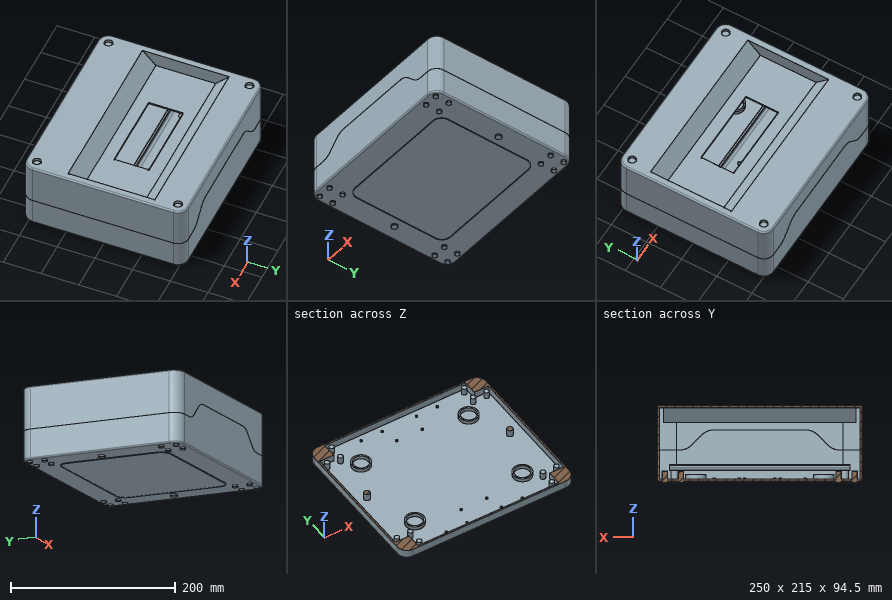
import cadquery as cq
import math

LENGTH = 250.0
WIDTH = 215.0
HEIGHT = 94.5
FOOT_HEIGHT = 2.0
CORNER_RADIUS = 14.0
EDGE_RADIUS = 2.0
WALL = 3.0

PARTING_Z = 40.0
TONGUE_RISE = 24.5
TONGUE_TOP_HALF = 64.8
TONGUE_RADIUS = 20.0

RAIL_Y = 7.2
RECESS_LENGTH = 230.5
RECESS_TOP_WIDTH = 115.0
RECESS_FLOOR_WIDTH = 79.2
RECESS_DEPTH = 19.0
RECESS_SKIN = 2.0
WINDOW_LENGTH = 106.5
WINDOW_WIDTH = 46.0

SCREW_HOLE_DIAMETER = 10.5
SCREW_HOLE_DEPTH = 4.0
SCREW_X = LENGTH / 2 - CORNER_RADIUS
SCREW_Y = WIDTH / 2 - CORNER_RADIUS

COLUMN_X = 101.8
COLUMN_Y = 84.5

PEG_DIAMETER = 6.8
PEG_HEIGHT = 9.5
PEG_XS = (96.2, 115.8)
PEG_YS = (78.5, 98.5)

RING_DIAMETER = 25.5
RING_BORE = 21.2
RING_HEIGHT = 5.0
RING_X = 78.0
RING_Y = 60.5
PAD_THICKNESS = 1.0

STUD_DIAMETER = 3.0
STUD_HEIGHT = 1.0
STUD_PLACES = ((25.0, 95.5), (55.2, 95.8), (18.5, 72.2))

POST_DIAMETER = 8.5
POST_HEIGHT = 10.0
POST_X = 103.8
RAIL_LENGTH = 220.0
RAIL_WIDTH = 35.2
RAIL_MOUTH_WIDTH = 28.5
RAIL_BEND_RADIUS = 2.8
RAIL_HEIGHT = 7.5
RAIL_THICKNESS = 1.0
RAIL_HOLE_DIAMETER = 4.8

FLOOR_Z = FOOT_HEIGHT + WALL
RECESS_FLOOR_Z = HEIGHT - RECESS_DEPTH


def mirrored(x, y):
    """The four places mirrored about both centre planes."""
    return [(sx * x, sy * y) for sx in (-1, 1) for sy in (-1, 1)]


def cylinders(places, diameter, bottom, height):
    return cq.Workplane("XY", origin=(0, 0, bottom)).pushPoints(places).circle(diameter / 2).extrude(height)


def outer_block():
    """Rounded block that base and lid share."""
    block = cq.Workplane("XY", origin=(0, 0, FOOT_HEIGHT)).rect(LENGTH, WIDTH).extrude(HEIGHT - FOOT_HEIGHT)
    return block.edges("|Z").fillet(CORNER_RADIUS).faces("<Z or >Z").edges().fillet(EDGE_RADIUS)


def below_parting():
    """Everything below the parting line, whose tongue corners are rounded."""
    margin = 2.5
    tongue_top = PARTING_Z + TONGUE_RISE
    foot_half = TONGUE_TOP_HALF + TONGUE_RISE
    outline = [
        (-LENGTH, 0),
        (LENGTH, 0),
        (LENGTH, PARTING_Z),
        (foot_half, PARTING_Z),
        (TONGUE_TOP_HALF, tongue_top),
        (-TONGUE_TOP_HALF, tongue_top),
        (-foot_half, PARTING_Z),
        (-LENGTH, PARTING_Z),
    ]
    region = cq.Workplane("XZ").polyline(outline).close().extrude(WIDTH, both=True)
    tongue_corners = cq.selectors.BoxSelector(
        (-foot_half - margin, -2 * WIDTH, PARTING_Z - margin),
        (foot_half + margin, 2 * WIDTH, tongue_top + margin),
    )
    return region.edges("|Y").edges(tongue_corners).fillet(TONGUE_RADIUS)


def recess_prism(skin):
    """Trough of the lid recess, grown outwards by a skin thickness."""
    run = (RECESS_TOP_WIDTH - RECESS_FLOOR_WIDTH) / 2
    slope = math.atan2(RECESS_DEPTH, run)
    floor_half = RECESS_FLOOR_WIDTH / 2 + skin * math.tan(slope / 2)
    top_half = floor_half + (RECESS_DEPTH + skin) / math.tan(slope)
    floor_z = RECESS_FLOOR_Z - skin
    outline = [
        (RAIL_Y - floor_half, floor_z),
        (RAIL_Y + floor_half, floor_z),
        (RAIL_Y + top_half, HEIGHT),
        (RAIL_Y - top_half, HEIGHT),
    ]
    return cq.Workplane("YZ").polyline(outline).close().extrude(RECESS_LENGTH / 2 + skin, both=True)


def cavity():
    """Hollow inside, reduced by the corner columns and the skin of the recess."""
    inner_length = LENGTH - 2 * WALL
    inner_width = WIDTH - 2 * WALL
    inner_height = HEIGHT - WALL - FLOOR_Z
    floor = cq.Workplane("XY", origin=(0, 0, FLOOR_Z))
    along_x = floor.rect(inner_length, 2 * COLUMN_Y).extrude(inner_height)
    along_y = floor.rect(2 * COLUMN_X, inner_width).extrude(inner_height)
    return along_x.union(along_y).cut(recess_prism(RECESS_SKIN))


def make_base():
    base = outer_block().intersect(below_parting()).cut(cavity())

    pegs = [place for x in PEG_XS for y in PEG_YS for place in mirrored(x, y)]
    base = base.union(cylinders(pegs, PEG_DIAMETER, 0, FLOOR_Z + PEG_HEIGHT))
    posts = [(-POST_X, RAIL_Y), (POST_X, RAIL_Y)]
    base = base.union(cylinders(posts, POST_DIAMETER, 0, FLOOR_Z + POST_HEIGHT))

    pad = (
        cq.Workplane("XY", origin=(0, 0, FOOT_HEIGHT - PAD_THICKNESS))
        .rect(2 * RING_X + RING_DIAMETER, 2 * RING_Y + RING_DIAMETER)
        .extrude(PAD_THICKNESS)
        .edges("|Z")
        .fillet(RING_DIAMETER / 2)
    )
    base = base.union(pad)

    rings = mirrored(RING_X, RING_Y)
    base = base.union(cylinders(rings, RING_DIAMETER, FLOOR_Z, RING_HEIGHT))
    base = base.cut(cylinders(rings, RING_BORE, FLOOR_Z, RING_HEIGHT))
    studs = [place for x, y in STUD_PLACES for place in mirrored(x, y)]
    return base.union(cylinders(studs, STUD_DIAMETER, FLOOR_Z, STUD_HEIGHT))


def make_lid():
    lid = outer_block().cut(below_parting()).cut(cavity()).cut(recess_prism(0))
    window = (
        cq.Workplane("XY", origin=(0, RAIL_Y, RECESS_FLOOR_Z - RECESS_SKIN))
        .rect(WINDOW_LENGTH, WINDOW_WIDTH)
        .extrude(RECESS_SKIN)
    )
    lid = lid.cut(window)
    hole_bottom = HEIGHT - SCREW_HOLE_DEPTH
    return lid.cut(cylinders(mirrored(SCREW_X, SCREW_Y), SCREW_HOLE_DIAMETER, hole_bottom, SCREW_HOLE_DEPTH))


def rail_trough(width, bottom, top, bend_radius):
    """Solid bar along the rail with its two lower edges rounded."""
    bar = cq.Workplane("XY", origin=(0, RAIL_Y, bottom)).rect(RAIL_LENGTH, width).extrude(top - bottom)
    return bar.faces("<Z").edges("|X").fillet(bend_radius)


def make_rail():
    """Hat-section rail with its web resting on the posts."""
    web_z = FLOOR_Z + POST_HEIGHT
    rim_z = web_z + RAIL_HEIGHT
    outer_width = RAIL_MOUTH_WIDTH + 2 * RAIL_THICKNESS
    flanges = (
        cq.Workplane("XY", origin=(0, RAIL_Y, rim_z - RAIL_THICKNESS))
        .rect(RAIL_LENGTH, RAIL_WIDTH)
        .extrude(RAIL_THICKNESS)
    )
    rail = flanges.union(rail_trough(outer_width, web_z, rim_z, RAIL_BEND_RADIUS + RAIL_THICKNESS))
    rail = rail.cut(rail_trough(RAIL_MOUTH_WIDTH, web_z + RAIL_THICKNESS, rim_z, RAIL_BEND_RADIUS))
    return rail.cut(cylinders([(0, RAIL_Y)], RAIL_HOLE_DIAMETER, web_z, RAIL_THICKNESS))


base = make_base()
lid = make_lid()
rail = make_rail()

result = cq.Compound.makeCompound([base.val(), lid.val(), rail.val()])